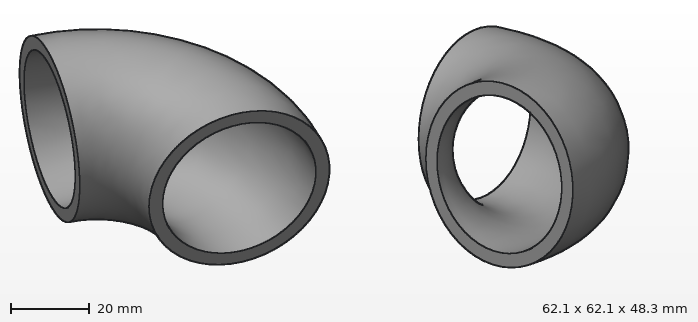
import cadquery as cq

overall_reach = 62.15
outer_diameter = 48.3
wall_thickness = 3.65
bend_angle = 90.0

outer_radius = outer_diameter / 2
inner_radius = outer_radius - wall_thickness
bend_radius = overall_reach - outer_radius

result = (
    cq.Workplane("XZ")
    .center(-bend_radius, 0)
    .circle(outer_radius)
    .circle(inner_radius)
    .revolve(bend_angle, (bend_radius, 0), (bend_radius, -1))
)